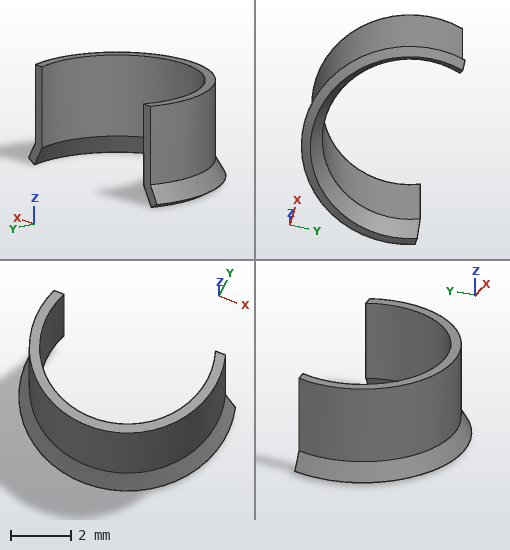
import cadquery as cq
import math

rim_radius = 3.62
sleeve_outer_radius = 3.27
wall = 0.35
height = 3.5
flare_angle = math.radians(30)
end_face_y = 1.03

sleeve_inner_radius = sleeve_outer_radius - wall
skirt_inner_radius = rim_radius - wall * math.cos(flare_angle)
rim_z = wall * math.sin(flare_angle)
outer_bend_z = rim_z + (rim_radius - sleeve_outer_radius) / math.tan(flare_angle)
inner_bend_z = (skirt_inner_radius - sleeve_inner_radius) / math.tan(flare_angle)


def full_ring():
    """Revolve the bent wall section around Z."""
    section = [
        (skirt_inner_radius, 0),
        (rim_radius, rim_z),
        (sleeve_outer_radius, outer_bend_z),
        (sleeve_outer_radius, height),
        (sleeve_inner_radius, height),
        (sleeve_inner_radius, inner_bend_z),
    ]
    return cq.Workplane("XZ").polyline(section).close().revolve(360, (0, 0, 0), (0, 1, 0))


def opening():
    """Block removing everything behind the flat end faces."""
    return (
        cq.Workplane("XY")
        .box(2 * rim_radius, rim_radius, height, centered=(True, False, False))
        .translate((0, end_face_y, 0))
    )


result = full_ring().cut(opening())